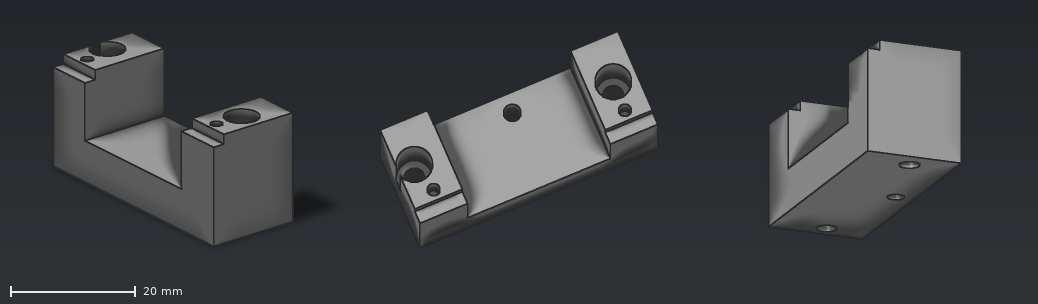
import cadquery as cq

length = 41.4
width = 16.25
height = 19.05

post_length = 8.3
floor_height = 7.3

step_depth = 2.1
step_drop = 1.7

screw_diameter = 3.3
counterbore_diameter = 5.85
counterbore_depth = 9.8
screw_y = 8.9
left_screw_x = 2.8
right_screw_x = 37.43

pin_diameter = 2.03
pin_depth = 4.95
pin_y = 3.85
left_pin_x = 4.0
right_pin_x = 37.3

floor_hole_diameter = 2.77
floor_hole_x = 21.65
floor_hole_y = 13.1


def box_at(x, y, z, size_x, size_y, size_z):
    """Box whose lowest corner is at (x, y, z)."""
    return cq.Workplane("XY").box(size_x, size_y, size_z, centered=False).translate((x, y, z))


def bore(x, y, top, diameter, depth):
    """Vertical cylinder reaching down from the given top height."""
    return cq.Workplane("XY").workplane(offset=top - depth).center(x, y).circle(diameter / 2).extrude(depth)


body = box_at(0, 0, 0, length, width, height)
channel_length = length - 2 * post_length
body = body.cut(box_at(post_length, 0, floor_height, channel_length, width, height - floor_height))
body = body.cut(box_at(0, 0, height - step_drop, length, step_depth, step_drop))

for screw_x in (left_screw_x, right_screw_x):
    body = body.cut(bore(screw_x, screw_y, height, screw_diameter, height))
    body = body.cut(bore(screw_x, screw_y, height, counterbore_diameter, counterbore_depth))

for pin_x in (left_pin_x, right_pin_x):
    body = body.cut(bore(pin_x, pin_y, height, pin_diameter, pin_depth))

body = body.cut(bore(floor_hole_x, floor_hole_y, floor_height, floor_hole_diameter, floor_height))

result = body